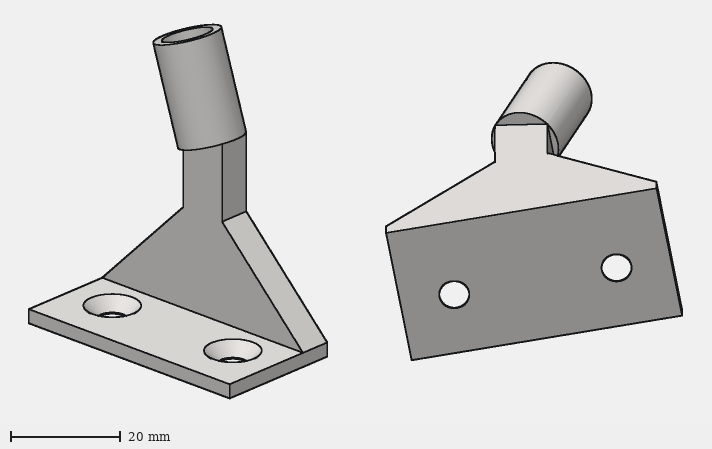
import cadquery as cq
import math

base_length = 50.0
base_depth = 26.0
base_thickness = 2.85

upright_thickness = 6.5
post_width = 9.7
gusset_height = 20.0

tube_diameter = 12.75
bore_diameter = 9.55
tube_length = 20.0
bore_depth = 15.0
tube_tilt = 18.0
tube_center_y = -3.95
total_height = 57.8

hole_spacing = 30.0
hole_from_front = 11.55
hole_diameter = 5.45
countersink_diameter = 10.5
countersink_angle = 90.0

tilt = math.radians(tube_tilt)
tube_bottom_z = (
    total_height
    - tube_length * math.cos(tilt)
    - tube_diameter / 2 * math.sin(tilt)
)


def make_base():
    """Flat plate with two countersunk through holes."""
    hole_y = hole_from_front - base_depth
    plate = cq.Workplane("XY").box(
        base_length, base_depth, base_thickness, centered=(True, False, False)
    )
    return (
        plate.translate((0, -base_depth, 0))
        .faces(">Z")
        .workplane(origin=(0, hole_y, 0))
        .pushPoints([(-hole_spacing / 2, 0), (hole_spacing / 2, 0)])
        .cskHole(hole_diameter, countersink_diameter, countersink_angle)
    )


def make_upright():
    """Gusset and post, the post ending in a slope that meets the tube's lower face."""
    half_base = base_length / 2
    half_post = post_width / 2
    gusset_top = base_thickness + gusset_height
    slope_rise = half_post * math.tan(tilt)
    outline = [
        (-half_base, base_thickness),
        (half_base, base_thickness),
        (half_post, gusset_top),
        (half_post, tube_bottom_z + slope_rise),
        (-half_post, tube_bottom_z - slope_rise),
        (-half_post, gusset_top),
    ]
    return cq.Workplane("XZ").polyline(outline).close().extrude(upright_thickness)


def make_tube():
    """Tube leaning toward -X, bored from its upper end to a flat floor."""
    lower_end = cq.Plane(
        origin=(0, tube_center_y, tube_bottom_z),
        xDir=(math.cos(tilt), 0, math.sin(tilt)),
        normal=(-math.sin(tilt), 0, math.cos(tilt)),
    )
    body = cq.Workplane(lower_end).circle(tube_diameter / 2).extrude(tube_length)
    bore = (
        cq.Workplane(lower_end)
        .workplane(offset=tube_length - bore_depth)
        .circle(bore_diameter / 2)
        .extrude(bore_depth)
    )
    return body.cut(bore)


result = make_base().union(make_upright()).union(make_tube())